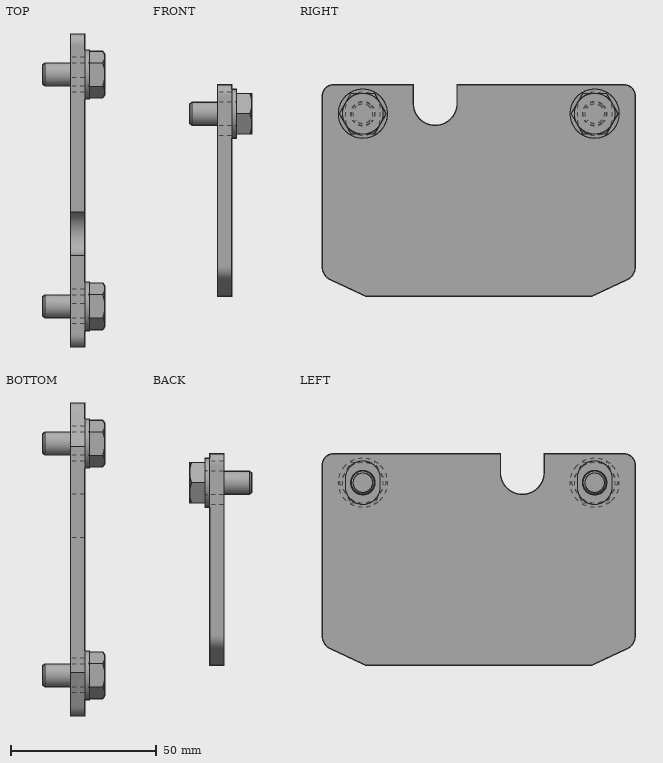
import cadquery as cq
import math

plate_width = 108.0
plate_height = 73.0
plate_thickness = 5.0
top_corner_radius = 4.0
bottom_corner_radius = 5.0
bevel_width = 15.0
bevel_height = 7.0

notch_width = 15.0
notch_depth = 14.0
notch_y = -15.0

slot_width = 12.0
slot_height = 15.0
bolt_spacing = 79.9
bolt_drop = 10.0

washer_diameter = 17.0
washer_bore = 8.4
washer_thickness = 1.6

shank_diameter = 8.0
shank_protrusion = 9.6
tip_chamfer_length = 0.9
tip_chamfer_depth = 0.6
head_across_flats = 14.0
head_height = 5.3
head_chamfer_length = 0.8

half_width = plate_width / 2
half_height = plate_height / 2
bolt_z = half_height - bolt_drop
bolt_positions = [(side * bolt_spacing / 2, bolt_z) for side in (-1, 1)]
washer_back_x = plate_thickness + washer_thickness
head_across_corners = head_across_flats / math.cos(math.radians(30))


def cross_section_plane(x):
    """Sketch plane at the given X, with local axes along Y and Z and normal along +X."""
    return cq.Workplane("YZ", origin=(x, 0, 0))


def make_plate():
    blank = (
        cross_section_plane(0)
        .moveTo(-half_width, half_height)
        .lineTo(half_width, half_height)
        .lineTo(half_width, -half_height + bevel_height)
        .lineTo(half_width - bevel_width, -half_height)
        .lineTo(-half_width + bevel_width, -half_height)
        .lineTo(-half_width, -half_height + bevel_height)
        .close()
        .extrude(plate_thickness)
    )
    side_corners = blank.faces("<Y or >Y").edges("|X")
    blank = side_corners.edges(">Z").fillet(top_corner_radius)
    blank = blank.faces("<Y or >Y").edges("|X").edges("<Z").fillet(bottom_corner_radius)

    notch_radius = notch_width / 2
    notch_center_z = half_height - notch_depth + notch_radius
    notch = (
        cross_section_plane(0)
        .moveTo(notch_y - notch_radius, half_height)
        .lineTo(notch_y - notch_radius, notch_center_z)
        .threePointArc(
            (notch_y, half_height - notch_depth),
            (notch_y + notch_radius, notch_center_z),
        )
        .lineTo(notch_y + notch_radius, half_height)
        .close()
        .extrude(plate_thickness)
    )
    slots = (
        cross_section_plane(0)
        .pushPoints(bolt_positions)
        .slot2D(slot_height, slot_width, angle=90)
        .extrude(plate_thickness)
    )
    return blank.cut(notch).cut(slots)


def make_washer(y, z):
    """Flat ring against the back face of the plate."""
    return (
        cross_section_plane(plate_thickness)
        .center(y, z)
        .circle(washer_diameter / 2)
        .circle(washer_bore / 2)
        .extrude(washer_thickness)
    )


def make_bolt(y, z):
    """Hexagon-head bolt whose shank runs through washer and slot toward -X."""
    tip_x = -shank_protrusion
    head_end_x = washer_back_x + head_height
    shank_radius = shank_diameter / 2
    corner_radius = head_across_corners / 2

    hexagon = (
        cross_section_plane(washer_back_x)
        .polygon(6, head_across_corners)
        .extrude(head_height)
    )
    head_envelope = (
        cq.Workplane("XY")
        .moveTo(washer_back_x, 0)
        .lineTo(washer_back_x, corner_radius)
        .lineTo(head_end_x - head_chamfer_length, corner_radius)
        .lineTo(head_end_x, head_across_flats / 2)
        .lineTo(head_end_x, 0)
        .close()
        .revolve(360, (0, 0, 0), (1, 0, 0))
    )
    shank = (
        cq.Workplane("XY")
        .moveTo(tip_x, 0)
        .lineTo(tip_x, shank_radius - tip_chamfer_depth)
        .lineTo(tip_x + tip_chamfer_length, shank_radius)
        .lineTo(washer_back_x, shank_radius)
        .lineTo(washer_back_x, 0)
        .close()
        .revolve(360, (0, 0, 0), (1, 0, 0))
    )
    return hexagon.intersect(head_envelope).union(shank).translate((0, y, z))


plate = make_plate()
washers = [make_washer(y, z) for y, z in bolt_positions]
bolts = [make_bolt(y, z) for y, z in bolt_positions]

result = cq.Compound.makeCompound(
    [plate.val()]
    + [washer.val() for washer in washers]
    + [bolt.val() for bolt in bolts]
)